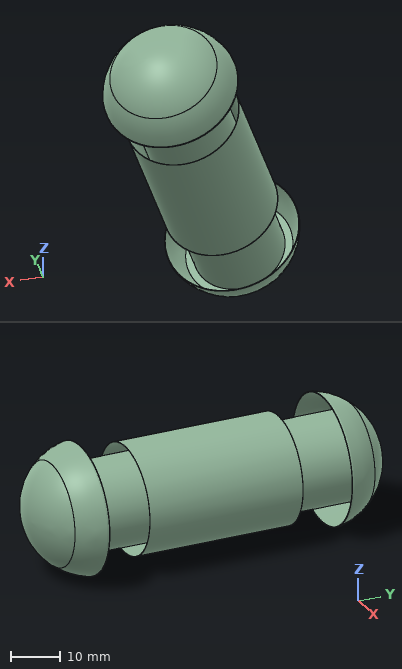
import cadquery as cq
import math

overall_length = 78.5
rod_diameter = 19.1

head_diameter = 28.1
head_height = 12.0
rim_height = 0.5
shell_thickness = 0.15
cap_thickness = 5.6

sleeve_diameter = 23.8
sleeve_length = 34.4
sleeve_wall = 0.1

half_length = overall_length / 2
head_radius = head_diameter / 2
rim_y = half_length - head_height
dome_base_y = rim_y + rim_height
dome_height = head_height - rim_height
sphere_radius = (head_radius**2 + dome_height**2) / (2 * dome_height)
sphere_center_y = half_length - sphere_radius
floor_y = half_length - cap_thickness


def sphere_x(y, radius):
    """Distance from the axis of a dome circle of the given radius at height y."""
    return math.sqrt(radius**2 - (y - sphere_center_y) ** 2)


def cylinder(diameter, length):
    """Cylinder along Y, centered on the origin."""
    return cq.Workplane("XZ", origin=(0, length / 2, 0)).circle(diameter / 2).extrude(length)


def make_headed_rod():
    """Rod with a domed head at each end, each head hollow around the rod."""
    rod_radius = rod_diameter / 2
    inner_head_radius = head_radius - shell_thickness
    inner_sphere_radius = sphere_radius - shell_thickness
    inner_rim_y = sphere_center_y + math.sqrt(inner_sphere_radius**2 - inner_head_radius**2)
    floor_radius = sphere_x(floor_y, inner_sphere_radius)
    outer_middle = (sphere_x(floor_y, sphere_radius), floor_y)
    inner_middle_y = (inner_rim_y + floor_y) / 2
    inner_middle = (sphere_x(inner_middle_y, inner_sphere_radius), inner_middle_y)

    profile = (
        cq.Workplane("XY")
        .moveTo(0, half_length)
        .threePointArc(outer_middle, (head_radius, dome_base_y))
        .lineTo(head_radius, rim_y)
        .lineTo(inner_head_radius, rim_y)
        .lineTo(inner_head_radius, inner_rim_y)
        .threePointArc(inner_middle, (floor_radius, floor_y))
        .lineTo(rod_radius, floor_y)
        .lineTo(rod_radius, -floor_y)
        .lineTo(floor_radius, -floor_y)
        .threePointArc((inner_middle[0], -inner_middle[1]), (inner_head_radius, -inner_rim_y))
        .lineTo(inner_head_radius, -rim_y)
        .lineTo(head_radius, -rim_y)
        .lineTo(head_radius, -dome_base_y)
        .threePointArc((outer_middle[0], -outer_middle[1]), (0, -half_length))
        .close()
    )
    return profile.revolve(360, (0, 0), (0, 1))


def make_sleeve():
    """Open tube around the middle of the rod."""
    bore = cylinder(sleeve_diameter - 2 * sleeve_wall, sleeve_length)
    return cylinder(sleeve_diameter, sleeve_length).cut(bore)


headed_rod = make_headed_rod()
sleeve = make_sleeve()
result = cq.Compound.makeCompound([headed_rod.val(), sleeve.val()])